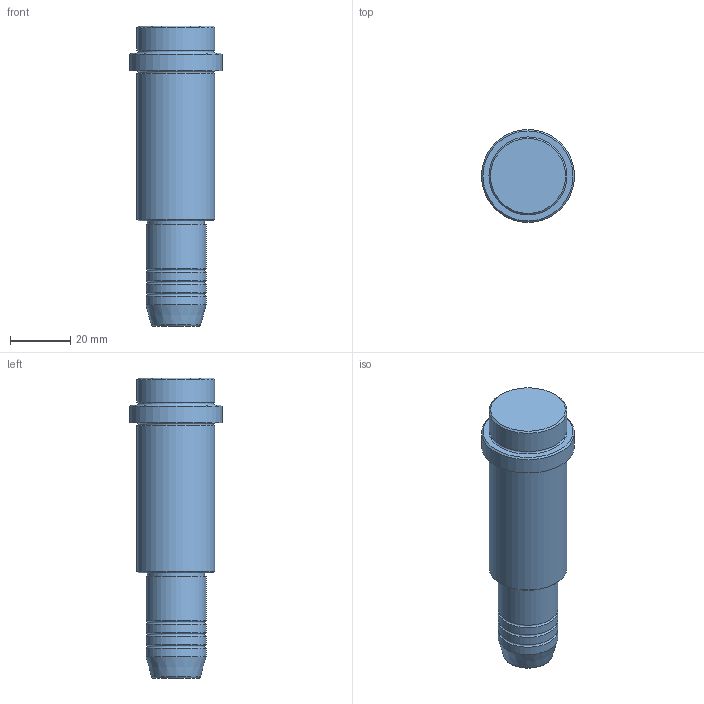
import cadquery as cq
import math

total_length = 100.0
body_radius = 13.0
flange_radius = 15.5
shank_radius = 10.0

flange_top_depth = 9.0
flange_bottom_depth = 15.0
body_bottom_depth = 65.0
nose_start_depth = 93.0

relief_width = 1.0
relief_depth = 0.5

groove_radius = 0.5
first_shank_groove_depth = 81.5
shank_groove_pitch = 4.0
shank_groove_count = 3

edge_chamfer = 0.5
nose_fillet = 0.5
nose_angle = 15.0

nose_length = total_length - nose_start_depth
nose_end_radius = shank_radius - nose_length * math.tan(math.radians(nose_angle))


def cylinder(radius, top_depth, bottom_depth):
    """Solid cylinder on the Z axis between two depths below the top face."""
    return (
        cq.Workplane("XY")
        .workplane(offset=total_length - bottom_depth)
        .circle(radius)
        .extrude(bottom_depth - top_depth)
    )


def make_body():
    """Cylinder chamfered at both ends."""
    return cylinder(body_radius, 0, body_bottom_depth).faces("<Z or >Z").chamfer(edge_chamfer)


def make_flange():
    """Collar with a chamfered upper rim."""
    return cylinder(flange_radius, flange_top_depth, flange_bottom_depth).faces(">Z").chamfer(edge_chamfer)


def make_shank():
    """Thinner cylinder below the body, necked down where it leaves the body."""
    relief_bottom_depth = body_bottom_depth + relief_width
    neck = cylinder(shank_radius - relief_depth, body_bottom_depth, relief_bottom_depth)
    return neck.union(cylinder(shank_radius, relief_bottom_depth, nose_start_depth))


def make_nose():
    """Tapered lead-in at the bottom with a rounded end."""
    nose = (
        cq.Workplane("XZ")
        .lineTo(nose_end_radius, 0)
        .lineTo(shank_radius, nose_length)
        .lineTo(0, nose_length)
        .close()
        .revolve(360, (0, 0), (0, 1))
    )
    return nose.faces("<Z").edges().fillet(nose_fillet)


def groove_ring(surface_radius, center_depth):
    """Ring of round section, centred on a cylinder's surface, that cuts a half-round groove."""
    center_height = total_length - center_depth
    return (
        cq.Workplane("XZ")
        .center(surface_radius, center_height)
        .circle(groove_radius)
        .revolve(360, (-surface_radius, 0), (-surface_radius, 1))
    )


result = make_body().union(make_flange()).union(make_shank()).union(make_nose())

for center_depth in (flange_top_depth - groove_radius, flange_bottom_depth + groove_radius):
    result = result.cut(groove_ring(body_radius, center_depth))

for index in range(shank_groove_count):
    center_depth = first_shank_groove_depth + index * shank_groove_pitch
    result = result.cut(groove_ring(shank_radius, center_depth))